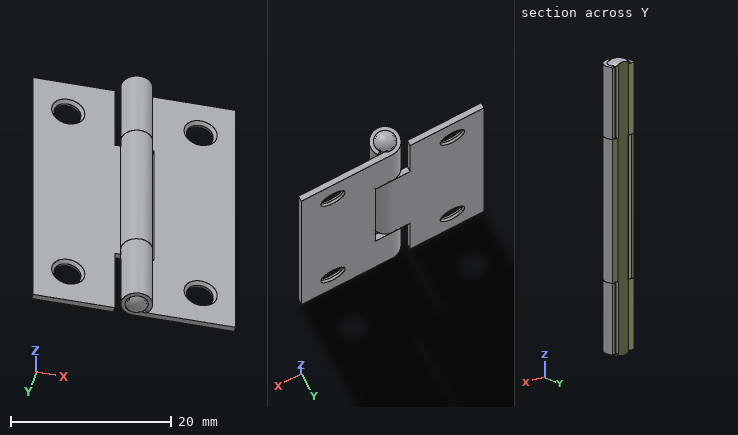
import cadquery as cq
import math

overall_height = 39.3
overall_width = 26.0
knuckle_diameter = 4.0
leaf_thickness = 0.8
head_height = 0.65
head_diameter = 2.9
notch_clearance = 0.47
curl_end_angle = 35.0

hole_diameter = 3.4
countersink_diameter = 4.25
countersink_angle = 90.0
hole_offset_x = 8.5
hole_offset_z = 14.0

leaf_height = overall_height - 2 * head_height
half_width = overall_width / 2
middle_knuckle_length = leaf_height / 2
end_knuckle_length = (leaf_height - middle_knuckle_length) / 2
knuckle_radius = knuckle_diameter / 2
bore_radius = knuckle_radius - leaf_thickness
head_radius = head_diameter / 2
notch_edge_x = knuckle_radius + notch_clearance


def on_circle(radius, angle):
    """Point on a circle about the pin axis, angle in degrees from +X."""
    return (radius * math.cos(math.radians(angle)), radius * math.sin(math.radians(angle)))


def strap_and_curl(bottom, length):
    """Strip running in from the +X edge and curled around the pin."""
    middle_angle = (90 + 360 + curl_end_angle) / 2
    return (
        cq.Workplane("XY", origin=(0, 0, bottom))
        .moveTo(half_width, knuckle_radius)
        .lineTo(0, knuckle_radius)
        .threePointArc(on_circle(knuckle_radius, middle_angle), on_circle(knuckle_radius, curl_end_angle))
        .lineTo(*on_circle(bore_radius, curl_end_angle))
        .threePointArc(on_circle(bore_radius, middle_angle), (0, bore_radius))
        .lineTo(half_width, bore_radius)
        .close()
        .extrude(length)
    )


def make_leaf(knuckle_spans):
    """Leaf on the +X side with a curl on each (bottom, length) span along Z."""
    leaf = cq.Workplane("XY").box(
        half_width - notch_edge_x, leaf_thickness, leaf_height, centered=(False, False, True)
    ).translate((notch_edge_x, bore_radius, 0))
    for bottom, length in knuckle_spans:
        leaf = leaf.union(strap_and_curl(bottom, length))

    return (
        leaf.copyWorkplane(cq.Workplane("XZ", origin=(0, bore_radius, 0)))
        .pushPoints([(hole_offset_x, hole_offset_z), (hole_offset_x, -hole_offset_z)])
        .cskHole(hole_diameter, countersink_diameter, countersink_angle, depth=leaf_thickness)
    )


def make_pin():
    """Pin filling the bore, with a domed head covering each knuckle end."""
    half_length = overall_height / 2
    seat = leaf_height / 2
    dome_radius = (head_radius**2 + head_height**2) / (2 * head_height)
    dome_center = half_length - dome_radius
    mid_radius = head_radius / 2
    mid_height = dome_center + math.sqrt(dome_radius**2 - mid_radius**2)
    return (
        cq.Workplane("XZ")
        .moveTo(0, -half_length)
        .threePointArc((mid_radius, -mid_height), (head_radius, -seat))
        .lineTo(bore_radius, -seat)
        .lineTo(bore_radius, seat)
        .lineTo(head_radius, seat)
        .threePointArc((mid_radius, mid_height), (0, half_length))
        .close()
        .revolve(360, (0, 0, 0), (0, 1, 0))
    )


right_leaf = make_leaf([
    (-leaf_height / 2, end_knuckle_length),
    (middle_knuckle_length / 2, end_knuckle_length),
])
left_leaf = make_leaf([(-middle_knuckle_length / 2, middle_knuckle_length)]).mirror("YZ")
pin = make_pin()

result = cq.Compound.makeCompound([right_leaf.solids().val(), left_leaf.solids().val(), pin.val()])